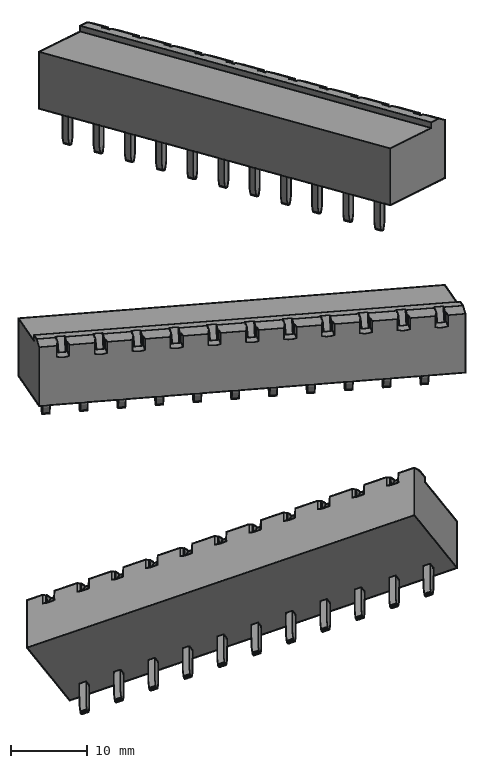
import cadquery as cq
import math

length = 57.2
depth = 12.0
total_height = 13.6
pin_length = 4.8
housing_height = total_height - pin_length

ridge_depth = 3.05
ridge_step = 0.8
bevel_run = 1.45
bevel_drop = 0.65

contact_count = 11
contact_span = 50.8
contact_pitch = contact_span / (contact_count - 1)

pin_width = 1.0
pin_from_front = 1.95
taper_height = 1.05
taper_width = 0.6
tip_bevel_height = 0.2
tip_width = 0.35

notch_reach = 1.8
notch_width = 0.9
wall_draft = 5.0
steep_run = 0.85
steep_angle = 58.0
gentle_angle = 45.0

lead_outer_width = 1.7
lead_inner_width = 1.4
lead_run = 0.5
lead_radius = 2.7

front_y = -depth / 2
back_y = depth / 2
gentle_slope = math.tan(math.radians(gentle_angle))


def make_housing():
    ridge_y = back_y - ridge_depth
    step_z = housing_height - ridge_step
    return (
        cq.Workplane("YZ")
        .moveTo(front_y, 0)
        .lineTo(back_y, 0)
        .lineTo(back_y, housing_height - bevel_drop)
        .lineTo(back_y - bevel_run, housing_height)
        .lineTo(ridge_y, housing_height)
        .lineTo(ridge_y, step_z)
        .lineTo(front_y, step_z)
        .close()
        .extrude(length / 2, both=True)
    )


def make_pin():
    pin_y = front_y + pin_from_front
    tip_z = -pin_length
    back_side = [
        (pin_width / 2, 0),
        (pin_width / 2, tip_z + taper_height),
        (taper_width / 2, tip_z + tip_bevel_height),
        (tip_width / 2, tip_z),
    ]
    front_side = [(-y, z) for y, z in reversed(back_side)]
    return (
        cq.Workplane("YZ")
        .polyline(back_side + front_side)
        .close()
        .extrude(pin_width / 2, both=True)
        .translate((0, pin_y, 0))
    )


def make_slot(bend, lead_start):
    """Drafted slot above the two sloping floors, from the ridge top to the lead-in."""
    lead_y, lead_z = lead_start
    start_y = back_y - notch_reach
    above_floor = (
        cq.Workplane("YZ")
        .polyline([(start_y, housing_height), bend, lead_start, (lead_y, housing_height)])
        .close()
        .extrude(length / 2, both=True)
    )
    half_bottom = notch_width / 2
    half_top = half_bottom + (housing_height - lead_z) * math.tan(math.radians(wall_draft))
    drafted_walls = (
        cq.Workplane("XZ", origin=(0, lead_y, 0))
        .moveTo(-half_bottom, lead_z)
        .lineTo(half_bottom, lead_z)
        .lineTo(half_top, housing_height)
        .lineTo(-half_top, housing_height)
        .close()
        .extrude(notch_reach)
    )
    return above_floor.intersect(drafted_walls)


def make_lead_in(lead_start):
    """Part of a wide cone around a Y axis, kept between two walls that flare to the back."""
    lead_y, lead_z = lead_start
    inner_radius = lead_radius - lead_run * gentle_slope
    cone = cq.Workplane(
        cq.Solid.makeCone(
            inner_radius,
            lead_radius,
            lead_run,
            pnt=cq.Vector(0, lead_y, lead_z + inner_radius),
            dir=cq.Vector(0, 1, 0),
        )
    )
    flared_walls = (
        cq.Workplane("XY")
        .moveTo(-lead_inner_width / 2, lead_y)
        .lineTo(lead_inner_width / 2, lead_y)
        .lineTo(lead_outer_width / 2, back_y)
        .lineTo(-lead_outer_width / 2, back_y)
        .close()
        .extrude(total_height)
    )
    return cone.intersect(flared_walls)


def make_notch():
    bend_y = back_y - notch_reach + steep_run
    bend_z = housing_height - steep_run * math.tan(math.radians(steep_angle))
    lead_y = back_y - lead_run
    lead_z = bend_z - (lead_y - bend_y) * gentle_slope
    lead_start = (lead_y, lead_z)
    return make_slot((bend_y, bend_z), lead_start).union(make_lead_in(lead_start))


pin = make_pin()
notch = make_notch()
result = make_housing()
for index in range(contact_count):
    contact_x = -contact_span / 2 + index * contact_pitch
    result = result.union(pin.translate((contact_x, 0, 0)))
    result = result.cut(notch.translate((contact_x, 0, 0)))